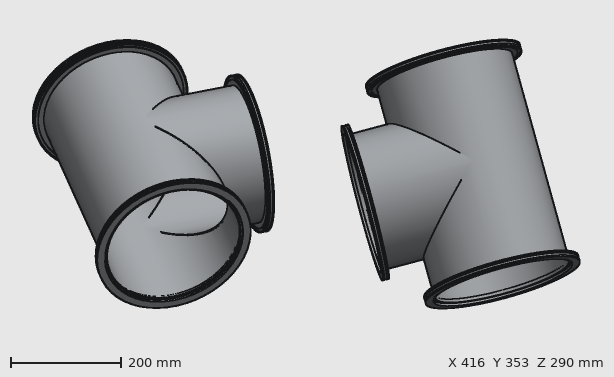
import cadquery as cq

TUBE_OUTER_RADIUS = 127.0
TUBE_WALL = 2.0
TUBE_BORE_RADIUS = TUBE_OUTER_RADIUS - TUBE_WALL
FLANGE_FACE_REACH = 208.0

FLANGE_RADIUS = 145.0
FLANGE_THICKNESS = 12.0
RECESS_RADIUS = 130.5
RECESS_DEPTH = 5.0

RIM_GROOVE_START = 3.0
RIM_GROOVE_WIDTH = 4.5
RIM_GROOVE_DEPTH = 1.5

BACK_GROOVE_INNER_RADIUS = 137.5
BACK_GROOVE_OUTER_RADIUS = 143.2
BACK_GROOVE_DEPTH = 2.0

TUBE_REACH = FLANGE_FACE_REACH - RECESS_DEPTH

FLANGE_ANGLES = (0, 90, -90)


def run_cylinder(radius):
    return cq.Workplane("YZ").circle(radius).extrude(TUBE_REACH, both=True)


def branch_cylinder(radius):
    return cq.Workplane("XZ").circle(radius).extrude(-TUBE_REACH)


def make_tee_shape(radius):
    return run_cylinder(radius).union(branch_cylinder(radius))


def make_tee_pipe():
    return make_tee_shape(TUBE_OUTER_RADIUS).cut(make_tee_shape(TUBE_BORE_RADIUS))


def make_branch_flange():
    """Flange on the branch: its section in the XY plane, turned about Y."""
    face = FLANGE_FACE_REACH
    back = face - FLANGE_THICKNESS
    back_groove_floor = back + BACK_GROOVE_DEPTH
    rim_groove_front = face - RIM_GROOVE_START
    rim_groove_middle = rim_groove_front - RIM_GROOVE_WIDTH / 2
    rim_groove_back = rim_groove_front - RIM_GROOVE_WIDTH
    rim_groove_floor_radius = FLANGE_RADIUS - RIM_GROOVE_DEPTH
    return (
        cq.Workplane("XY")
        .moveTo(TUBE_OUTER_RADIUS, back)
        .lineTo(BACK_GROOVE_INNER_RADIUS, back)
        .lineTo(BACK_GROOVE_INNER_RADIUS, back_groove_floor)
        .lineTo(BACK_GROOVE_OUTER_RADIUS, back_groove_floor)
        .lineTo(BACK_GROOVE_OUTER_RADIUS, back)
        .lineTo(FLANGE_RADIUS, back)
        .lineTo(FLANGE_RADIUS, rim_groove_back)
        .threePointArc((rim_groove_floor_radius, rim_groove_middle), (FLANGE_RADIUS, rim_groove_front))
        .lineTo(FLANGE_RADIUS, face)
        .lineTo(RECESS_RADIUS, face)
        .lineTo(RECESS_RADIUS, TUBE_REACH)
        .lineTo(TUBE_OUTER_RADIUS, TUBE_REACH)
        .close()
        .revolve(360, (0, 0, 0), (0, 1, 0))
    )


tee_pipe = make_tee_pipe()
branch_flange = make_branch_flange()
flanges = [branch_flange.rotate((0, 0, 0), (0, 0, 1), angle) for angle in FLANGE_ANGLES]

result = cq.Compound.makeCompound([tee_pipe.solids().val(), *[flange.val() for flange in flanges]])